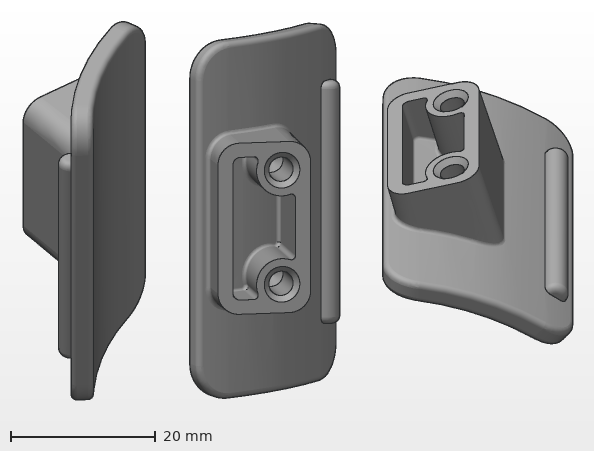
import cadquery as cq
import math

axis_x = 45.95
axis_y = 20.9
inner_radius = 40.0
plate_thickness = 3.1
outer_radius = inner_radius + plate_thickness
upper_end_angle = 196.9
lower_end_angle = 235.55
plate_height = 50.0
plate_corner_radius = 5.0
plate_edge_fillet = 0.8

boss_width = 13.05
boss_height = 24.0
boss_corner_radius = 3.0
boss_draft = 1.0
boss_root_fillet = 0.5
boss_reach = 16.0
joint_margin = 1.0

pocket_width = 8.8
pocket_height = 20.0
pocket_corner_radius = 1.0
pocket_floor_fillet = 0.4
post_radius = 3.6
post_corner_radius = 0.6

hole_y = -2.5
hole_spacing = 16.0
hole_diameter = 3.4
hole_depth = 8.0
drill_point_angle = 118.0
countersink_diameter = 5.0
countersink_angle = 90.0

rib_angle = 230.9
rib_radius = 1.75
rib_length = 34.0
rib_end_fillet = 1.0


def on_plate(radius, angle):
    """Point in plan at a radius and an angle about the plate axis."""
    turn = math.radians(angle)
    return (axis_x + radius * math.cos(turn), axis_y + radius * math.sin(turn))


def axis_cylinder(radius):
    """Upright cylinder about the plate axis, as tall as the plate."""
    return cq.Workplane("XY").center(axis_x, axis_y).circle(radius).extrude(plate_height / 2, both=True)


def curved_face(plate, radius, angle):
    """Curved face of the plate that passes through a point at mid height."""
    return plate.faces(cq.selectors.NearestToPointSelector((*on_plate(radius, angle), 0)))


def make_plate():
    mid_angle = (upper_end_angle + lower_end_angle) / 2
    plate = (
        cq.Workplane("XY")
        .moveTo(*on_plate(outer_radius, upper_end_angle))
        .threePointArc(on_plate(outer_radius, mid_angle), on_plate(outer_radius, lower_end_angle))
        .lineTo(*on_plate(inner_radius, lower_end_angle))
        .threePointArc(on_plate(inner_radius, mid_angle), on_plate(inner_radius, upper_end_angle))
        .close()
        .extrude(plate_height / 2, both=True)
    )
    radial_edges = plate.faces("|Z").edges("%LINE")
    plate = radial_edges.fillet(plate_corner_radius)
    inner_rim = curved_face(plate, inner_radius, mid_angle).edges()
    outer_rim = curved_face(plate, outer_radius, mid_angle).edges()
    return inner_rim.add(outer_rim).fillet(plate_edge_fillet)


def make_boss():
    boss = (
        cq.Workplane("YZ")
        .sketch()
        .rect(boss_width, boss_height)
        .vertices()
        .fillet(boss_corner_radius)
        .finalize()
        .extrude(boss_reach, taper=-boss_draft)
    )
    return boss.cut(axis_cylinder(outer_radius))


def make_pocket():
    """Solid to be cut from the boss: a block notched by a round post at each screw hole."""
    posts = (
        cq.Workplane("YZ")
        .center(hole_y, 0)
        .rarray(1, hole_spacing, 1, 2)
        .circle(post_radius)
        .extrude(boss_reach)
    )
    pocket = cq.Workplane("YZ").rect(pocket_width, pocket_height).extrude(boss_reach).cut(posts)
    pocket = pocket.edges("|X and (not >Y)").fillet(post_corner_radius)
    pocket = pocket.edges("|X and >Y").fillet(pocket_corner_radius)
    pocket = pocket.cut(axis_cylinder(outer_radius))
    return pocket.faces(">X").edges().fillet(pocket_floor_fillet)


def make_holes():
    drill_tip = hole_diameter / 2 / math.tan(math.radians(drill_point_angle / 2))
    countersink_step = (countersink_diameter - hole_diameter) / 2
    countersink_depth = countersink_step / math.tan(math.radians(countersink_angle / 2))
    hole_profile = [
        (0, 0),
        (0, countersink_diameter / 2),
        (countersink_depth, hole_diameter / 2),
        (hole_depth, hole_diameter / 2),
        (hole_depth + drill_tip, 0),
    ]
    hole = cq.Workplane("XY").polyline(hole_profile).close().revolve(360, (0, 0, 0), (1, 0, 0))
    holes = cq.Workplane("XY")
    for side in (-1, 1):
        holes = holes.add(hole.translate((0, hole_y, side * hole_spacing / 2)))
    return holes.combine()


def make_rib():
    rib = (
        cq.Workplane("XY")
        .center(*on_plate(outer_radius, rib_angle))
        .circle(rib_radius)
        .extrude(rib_length / 2, both=True)
        .faces("|Z")
        .edges()
        .fillet(rib_end_fillet)
    )
    return rib.cut(axis_cylinder((inner_radius + outer_radius) / 2))


def join_boss(plate, boss):
    """Unite the boss with the plate and round the joint between them."""
    boss_zone = cq.selectors.BoxSelector(
        (joint_margin, -boss_width / 2 - joint_margin, -boss_height / 2 - joint_margin),
        (boss_reach, boss_width / 2 + joint_margin, boss_height / 2 + joint_margin),
        boundingbox=True,
    )
    joint_edges = plate.union(boss).edges(boss_zone).edges("not %LINE")
    return joint_edges.fillet(boss_root_fillet)


body = join_boss(make_plate(), make_boss())
result = body.union(make_rib()).cut(make_pocket()).cut(make_holes())